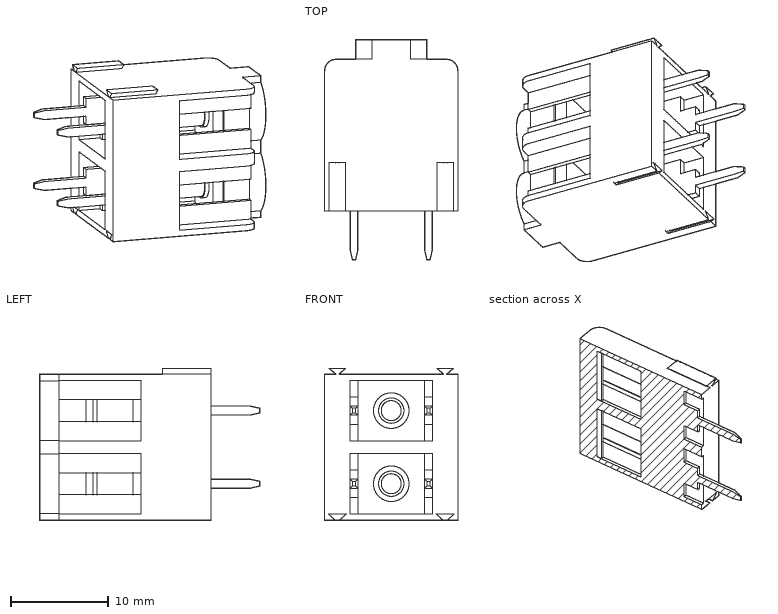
import cadquery as cq


WIDTH = 13.7
DEPTH = 15.6
HEIGHT = 15.0
CORNER_RADIUS = 1.2
POLE_PITCH = HEIGHT / 2
POLE_CENTERS = (POLE_PITCH / 2, POLE_PITCH * 3 / 2)

COLLAR_RADIUS = 3.65
COLLAR_LENGTH = 2.0
COLLAR_WEB_WIDTH = 4.0

CHAMBER_WIDTH = 8.44
CHAMBER_HEIGHT = 6.2
CHAMBER_STEP = 12.85
CHAMBER_END = 13.4
CHAMBER_END_WIDTH = 7.84
SLOT_START = 7.2
SIDE_WALL_WIDTH = 9.5
WINDOW_HEIGHT = 2.24

METAL = 0.8
PLATE_TOP = 8.0
LEG_START = 2.27
TAB_START = 0.5
TAB_HEIGHT = 2.8
PIN_HEIGHT = 0.95
PIN_LENGTH = 5.0
PIN_TAPER_LENGTH = 1.0
PIN_TIP_WIDTH = 0.34
PIN_TIP_HEIGHT = 0.5

THREAD_COLLAR_DIAMETER = 3.65
THREAD_COLLAR_LENGTH = 0.8
SCREW_TIP_DIAMETER = 2.6
SCREW_TIP_END_DIAMETER = 2.05
SCREW_TIP_LENGTH = 1.0
SCREW_DIAMETER = 3.0
SCREW_NECK_DIAMETER = 3.3
NECK_START = 11.69
PRESSURE_PLATE_START = 12.12
PRESSURE_PLATE_SIZE = 5.9

DOVETAIL_X = 5.53
DOVETAIL_LENGTH = 5.0
TONGUE_HEIGHT = 0.58
TONGUE_WIDE = 1.7
TONGUE_NARROW = 0.36
GROOVE_HEIGHT = 0.65
GROOVE_WIDE = 1.84
GROOVE_NARROW = 0.42


def block(x_center, x_size, y_start, y_end, z_center, z_size):
    """Box centred in X and Z that runs from y_start to y_end."""
    box = cq.Workplane("XY").box(x_size, y_end - y_start, z_size)
    return box.translate((x_center, (y_start + y_end) / 2, z_center))


def cylinder(diameter, y_start, y_end, z_center):
    """Round bar along +Y at x = 0."""
    disc = cq.Workplane("XZ", origin=(0, y_start, z_center)).circle(diameter / 2)
    return disc.extrude(-(y_end - y_start))


def dovetail(x_center, z_bottom, height, narrow, wide):
    """Dovetail prism with its narrow side down, starting at y = 0."""
    outline = [
        (-narrow / 2, 0),
        (narrow / 2, 0),
        (wide / 2, height),
        (-wide / 2, height),
    ]
    profile = cq.Workplane("XZ", origin=(x_center, 0, z_bottom)).polyline(outline).close()
    return profile.extrude(-DOVETAIL_LENGTH)


def housing_body():
    """Rounded block with the collar web and a round collar for each pole."""
    body = block(0, WIDTH, 0, DEPTH, HEIGHT / 2, HEIGHT)
    body = body.edges("|Z and >Y").fillet(CORNER_RADIUS)
    collar_end = DEPTH + COLLAR_LENGTH
    web = block(0, COLLAR_WEB_WIDTH, CHAMBER_END, collar_end, HEIGHT / 2, HEIGHT)
    body = body.union(web)
    for z in POLE_CENTERS:
        body = body.union(cylinder(2 * COLLAR_RADIUS, CHAMBER_END, collar_end, z))
    return body


def side_slots(z):
    """Slots on both sides of a pole, with a window into the chamber."""
    slot_depth = (WIDTH - SIDE_WALL_WIDTH) / 2
    window_depth = (WIDTH - CHAMBER_WIDTH) / 2
    slots = cq.Workplane("XY")
    for side in (-1, 1):
        slot_x = side * (WIDTH - slot_depth) / 2
        window_x = side * (WIDTH - window_depth) / 2
        slots = slots.add(block(slot_x, slot_depth, SLOT_START, DEPTH, z, CHAMBER_HEIGHT))
        slots = slots.add(block(window_x, window_depth, SLOT_START, DEPTH, z, WINDOW_HEIGHT))
    return slots.combine()


def chamber(z):
    """Stepped chamber that is open at the pin face."""
    wide = block(0, CHAMBER_WIDTH, 0, CHAMBER_STEP, z, CHAMBER_HEIGHT)
    return wide.union(block(0, CHAMBER_END_WIDTH, 0, CHAMBER_END, z, CHAMBER_HEIGHT))


def pin(x, z):
    """Rectangular pin with a tapered tip, reaching back to its tab."""
    taper_start = PIN_TAPER_LENGTH - PIN_LENGTH
    shank = block(x, METAL, taper_start, TAB_START, z, PIN_HEIGHT)
    tip = (
        cq.Workplane("XZ", origin=(x, taper_start, z))
        .rect(METAL, PIN_HEIGHT)
        .workplane(offset=PIN_TAPER_LENGTH)
        .rect(PIN_TIP_WIDTH, PIN_TIP_HEIGHT)
        .loft(ruled=True)
    )
    return shank.union(tip)


def contact(z):
    """U-shaped contact with rounded outer bends and two pins."""
    inner_width = CHAMBER_WIDTH - 2 * METAL
    bracket = block(0, CHAMBER_WIDTH, LEG_START, PLATE_TOP, z, CHAMBER_HEIGHT)
    bracket = bracket.edges("|Z and >Y").fillet(METAL)
    bracket = bracket.cut(block(0, inner_width, LEG_START, PLATE_TOP - METAL, z, CHAMBER_HEIGHT))
    for side in (-1, 1):
        x = side * (CHAMBER_WIDTH - METAL) / 2
        bracket = bracket.union(block(x, METAL, TAB_START, LEG_START, z, TAB_HEIGHT))
        bracket = bracket.union(pin(x, z))
    return bracket


def screw(z):
    """Screw from its tapered tip to the square pressure plate."""
    collar_start = PLATE_TOP - METAL - THREAD_COLLAR_LENGTH
    tip_start = collar_start - SCREW_TIP_LENGTH
    taper = (SCREW_TIP_DIAMETER - SCREW_TIP_END_DIAMETER) / 2
    tip = cylinder(SCREW_TIP_DIAMETER, tip_start, collar_start, z).faces("<Y").chamfer(taper)
    shaft = cylinder(SCREW_DIAMETER, collar_start, NECK_START, z)
    neck = cylinder(SCREW_NECK_DIAMETER, NECK_START, PRESSURE_PLATE_START, z)
    thread_collar = cylinder(THREAD_COLLAR_DIAMETER, collar_start, PLATE_TOP, z)
    plate = block(0, PRESSURE_PLATE_SIZE, PRESSURE_PLATE_START, CHAMBER_END, z, PRESSURE_PLATE_SIZE)
    return tip.union(shaft).union(neck).union(thread_collar).union(plate)


result = housing_body()
for pole_z in POLE_CENTERS:
    result = result.cut(chamber(pole_z)).cut(side_slots(pole_z))
    result = result.union(contact(pole_z)).union(screw(pole_z))
for dovetail_x in (-DOVETAIL_X, DOVETAIL_X):
    result = result.union(dovetail(dovetail_x, HEIGHT, TONGUE_HEIGHT, TONGUE_NARROW, TONGUE_WIDE))
    result = result.cut(dovetail(dovetail_x, 0, GROOVE_HEIGHT, GROOVE_NARROW, GROOVE_WIDE))